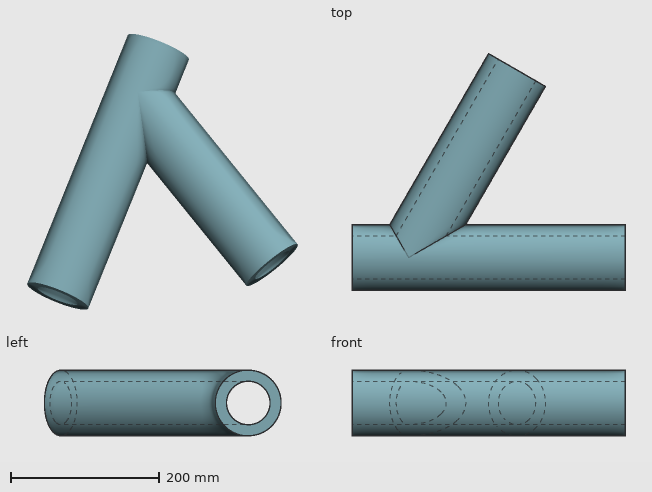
import cadquery as cq
import math

outer_diameter = 88.9
bore_diameter = 58.42
branch_angle = 60.0
inlet_length = 76.2
outlet_length = 292.1

run_length = inlet_length + outlet_length
run_start = cq.Vector(-inlet_length, 0, 0)
run_direction = cq.Vector(1, 0, 0)
crossing_point = cq.Vector(0, 0, 0)
branch_direction = cq.Vector(
    math.cos(math.radians(branch_angle)),
    math.sin(math.radians(branch_angle)),
    0,
)


def wye_cylinders(diameter):
    """Join a cylinder along the run with one along the branch."""
    radius = diameter / 2
    run = cq.Solid.makeCylinder(radius, run_length, run_start, run_direction)
    branch = cq.Solid.makeCylinder(radius, outlet_length, crossing_point, branch_direction)
    return cq.Workplane(run).union(cq.Workplane(branch))


pipe_body = wye_cylinders(outer_diameter)
bores = wye_cylinders(bore_diameter)
result = pipe_body.cut(bores)